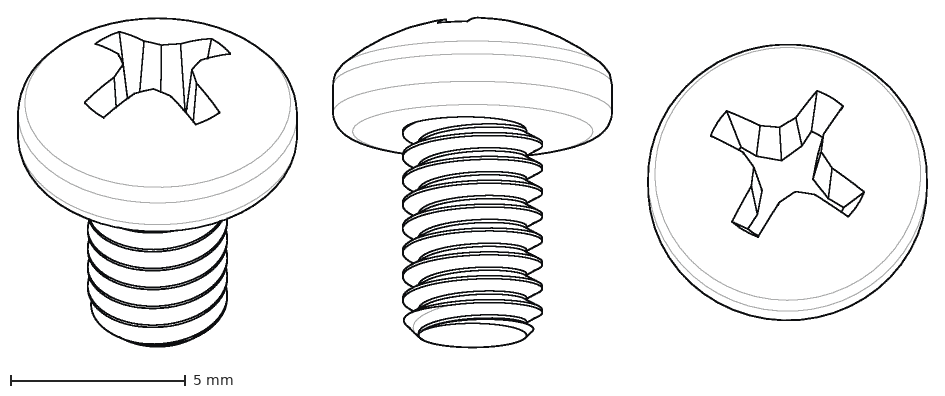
import cadquery as cq
import math

total_height = 9.11
shank_length = 6.0

head_radius = 8.0 / 2
dome_radius = 5.85
head_fillet = 0.56

thread_radius = 4.0 / 2
core_radius = 1.55
pitch = 0.7
crest_width = pitch / 8
flank_angle = 30.0
crest_height_at_plus_x = 0.51
thread_overlap = 0.05
tip_chamfer_height = 0.91
head_overlap = 0.18

recess_floor_z = 6.74
arm_half_width_floor = 0.26
arm_half_width_rim = 0.47
core_corner_floor = 0.53
core_corner_rim = 0.7
arm_root = 1.21
arm_overrun = 2.73
arm_end_radius_floor = 1.75
arm_end_radius_mouth = 2.36
arm_mouth_z = 8.7
recess_top_z = total_height + 0.46

rim_radius = core_corner_rim * math.sqrt(2)
dome_center_z = total_height - math.sqrt(dome_radius**2 - rim_radius**2)
dome_apex_z = dome_center_z + dome_radius


def extrapolate(start_z, start_value, end_z, end_value, z):
    """Value at height z on the straight line through two known heights."""
    return start_value + (end_value - start_value) * (z - start_z) / (end_z - start_z)


def make_head():
    dome_edge_z = dome_center_z + math.sqrt(dome_radius**2 - head_radius**2)
    mid_radius = head_radius / 2
    mid_z = dome_center_z + math.sqrt(dome_radius**2 - mid_radius**2)
    profile = (
        cq.Workplane("XZ")
        .moveTo(0, shank_length)
        .lineTo(head_radius, shank_length)
        .lineTo(head_radius, dome_edge_z)
        .threePointArc((mid_radius, mid_z), (0, dome_apex_z))
        .close()
    )
    head = profile.revolve(360, (0, 0, 0), (0, 1, 0))
    return head.edges("%CIRCLE").fillet(head_fillet)


def make_shank():
    top_z = shank_length + head_overlap
    clear_radius = core_radius + tip_chamfer_height
    envelope = (
        cq.Workplane("XZ")
        .polyline([
            (0, 0),
            (core_radius, 0),
            (clear_radius, tip_chamfer_height),
            (clear_radius, top_z),
            (0, top_z),
        ])
        .close()
        .revolve(360, (0, 0, 0), (0, 1, 0))
    )

    start_z = crest_height_at_plus_x - 2 * pitch
    ridge_height = top_z + pitch - start_z
    root_radius = core_radius - thread_overlap
    root_half_width = crest_width / 2 + (thread_radius - root_radius) * math.tan(math.radians(flank_angle))
    helix = cq.Wire.makeHelix(pitch, ridge_height, core_radius).translate(cq.Vector(0, 0, start_z))
    ridge = (
        cq.Workplane("XZ")
        .polyline([
            (root_radius, start_z - root_half_width),
            (thread_radius, start_z - crest_width / 2),
            (thread_radius, start_z + crest_width / 2),
            (root_radius, start_z + root_half_width),
        ])
        .close()
        .sweep(cq.Workplane(helix), isFrenet=True)
    )
    core = (
        cq.Workplane("XY", origin=(0, 0, start_z - pitch))
        .circle(core_radius)
        .extrude(ridge_height + 2 * pitch)
    )
    return core.union(ridge).intersect(envelope)


def cross_outline(z):
    """Corner points of the cross at height z; one arm repeated four times."""
    half_width = extrapolate(recess_floor_z, arm_half_width_floor, total_height, arm_half_width_rim, z)
    corner = extrapolate(recess_floor_z, core_corner_floor, total_height, core_corner_rim, z)
    arm = [
        (arm_root, -half_width),
        (arm_overrun, -half_width),
        (arm_overrun, half_width),
        (arm_root, half_width),
        (corner, corner),
    ]
    points = []
    for _ in range(4):
        points += arm
        arm = [(-y, x) for x, y in arm]
    return points


def make_recess():
    depth = recess_top_z - recess_floor_z
    cross = (
        cq.Workplane("XY", origin=(0, 0, recess_floor_z))
        .polyline(cross_outline(recess_floor_z)).close()
        .workplane(offset=depth)
        .polyline(cross_outline(recess_top_z)).close()
        .loft(ruled=True)
    )
    top_radius = extrapolate(
        recess_floor_z, arm_end_radius_floor, arm_mouth_z, arm_end_radius_mouth, recess_top_z
    )
    end_cone = cq.Solid.makeCone(
        arm_end_radius_floor, top_radius, depth, cq.Vector(0, 0, recess_floor_z)
    )
    return cross.intersect(cq.Workplane(end_cone))


result = make_head().union(make_shank()).cut(make_recess())